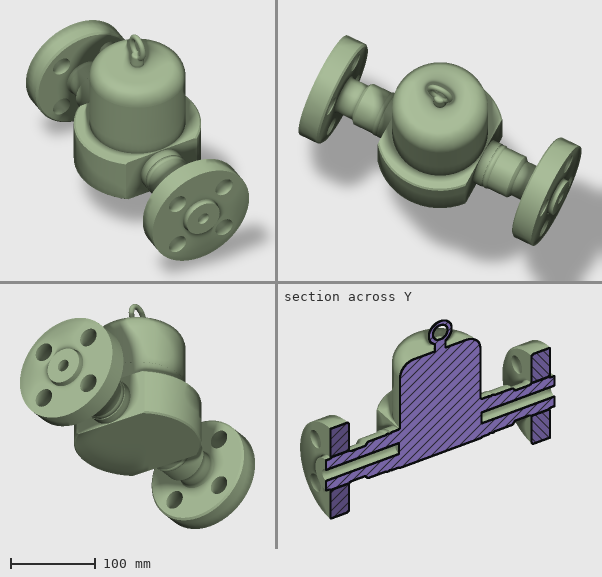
import cadquery as cq

overall_length = 320.0

block_diameter = 150.0
block_width = 116.0
block_height = 57.5
block_chamfer = 2.0

cover_diameter = 113.3
cover_top = 120.5
cover_fillet = 20.0
seam_height = 50.5
lower_cover_diameter = 113.0

overall_top = 161.3
eye_outer_diameter = 32.5
eye_wire_diameter = 6.5
post_base_diameter = 16.0
post_shoulder_diameter = 14.5
post_top = 135.5
post_round = 3.0

pipe_diameter = 44.0
bore_diameter = 15.0
sleeve_diameter = 53.0
sleeve_start = 76.0
sleeve_end = 101.0
bevel_end = 105.3
stub_diameter = 55.5
stub_end = 69.0
weld_start = 70.0
weld_root_diameter = 53.0

flange_diameter = 130.0
flange_inner_face = 127.7
flange_outer_face = 154.0
flange_thickness = flange_outer_face - flange_inner_face
flange_chamfer = 2.2
bolt_hole_diameter = 23.0
bolt_spacing = 62.5
collar_diameter = 48.0
flare_length = 4.0
outer_flare_end = 156.0

pipe_radius = pipe_diameter / 2
sleeve_radius = sleeve_diameter / 2
stub_radius = stub_diameter / 2
weld_root_radius = weld_root_diameter / 2
collar_radius = collar_diameter / 2


def make_block():
    """Disc with chamfered round edges, cut flat on the two pipe sides."""
    disc = (
        cq.Workplane("XY")
        .circle(block_diameter / 2)
        .extrude(block_height / 2, both=True)
        .edges()
        .chamfer(block_chamfer)
    )
    return disc.intersect(cq.Workplane("XY").box(block_width, block_diameter, block_height))


def make_cover():
    """Domed cylinder whose lower band is slightly narrower than the rest."""
    band = cq.Workplane("XY").circle(lower_cover_diameter / 2).extrude(seam_height)
    dome = (
        cq.Workplane("XY")
        .workplane(offset=seam_height)
        .circle(cover_diameter / 2)
        .extrude(cover_top - seam_height)
        .faces(">Z")
        .edges()
        .fillet(cover_fillet)
    )
    return band.union(dome)


def make_lifting_eye():
    """Tapered post with a rounded top, carrying a ring that stands in the XZ plane."""
    shoulder_radius = post_shoulder_diameter / 2
    post = (
        cq.Workplane("XZ")
        .moveTo(0, cover_top)
        .lineTo(post_base_diameter / 2, cover_top)
        .lineTo(shoulder_radius, post_top - post_round)
        .radiusArc((shoulder_radius - post_round, post_top), -post_round)
        .lineTo(0, post_top)
        .close()
        .revolve(360, (0, 0), (0, 1))
    )
    ring_radius = (eye_outer_diameter - eye_wire_diameter) / 2
    ring_center_height = overall_top - eye_outer_diameter / 2
    ring = (
        cq.Workplane("XY", origin=(0, 0, ring_center_height))
        .transformed(rotate=(0, 90, 0))
        .center(ring_radius, 0)
        .circle(eye_wire_diameter / 2)
        .revolve(360, (-ring_radius, 0), (-ring_radius, 1))
    )
    return post.union(ring)


def make_pipe():
    """Right-hand pipe end, turned about X, with a flared collar for its flange."""
    collar_step = collar_radius - pipe_radius
    flare_radius = (flare_length**2 + collar_step**2) / (2 * collar_step)
    weld_middle = (sleeve_start + weld_start) / 2
    return (
        cq.Workplane("XY")
        .lineTo(0, stub_radius)
        .lineTo(stub_end, stub_radius)
        .lineTo(stub_end, weld_root_radius)
        .lineTo(weld_start, weld_root_radius)
        .threePointArc((weld_middle, stub_radius), (sleeve_start, sleeve_radius))
        .lineTo(sleeve_end, sleeve_radius)
        .lineTo(bevel_end, pipe_radius)
        .lineTo(flange_inner_face - flare_length, pipe_radius)
        .radiusArc((flange_inner_face, collar_radius), -flare_radius)
        .lineTo(outer_flare_end - flare_length, collar_radius)
        .radiusArc((outer_flare_end, pipe_radius), -flare_radius)
        .lineTo(overall_length / 2, pipe_radius)
        .lineTo(overall_length / 2, 0)
        .close()
        .revolve(360, (0, 0), (1, 0))
    )


def make_bored_pipe():
    """Pipe end with a blind bore that runs from its outer face to the block."""
    bore = (
        cq.Workplane("YZ")
        .workplane(offset=block_width / 2)
        .circle(bore_diameter / 2)
        .extrude((overall_length - block_width) / 2)
    )
    return make_pipe().cut(bore)


def make_housing():
    """Block, cover, lifting eye and both pipe ends as one solid."""
    pipe = make_bored_pipe()
    return (
        make_block()
        .union(make_cover())
        .union(make_lifting_eye())
        .union(pipe)
        .union(pipe.mirror("YZ"))
    )


def make_flange(side):
    """Loose flange around the collar; side is +1 or -1 along X."""
    flange = (
        cq.Workplane("YZ")
        .workplane(offset=flange_inner_face)
        .circle(flange_diameter / 2)
        .extrude(flange_thickness)
        .faces("<X")
        .edges()
        .chamfer(flange_chamfer)
    )
    bolt_holes = (
        cq.Workplane("YZ")
        .workplane(offset=flange_inner_face)
        .rect(bolt_spacing, bolt_spacing, forConstruction=True)
        .vertices()
        .circle(bolt_hole_diameter / 2)
        .extrude(flange_thickness)
    )
    collar_bore = (
        cq.Workplane("YZ")
        .workplane(offset=flange_inner_face)
        .circle(collar_radius)
        .extrude(flange_thickness)
    )
    flange = flange.cut(bolt_holes).cut(collar_bore)
    return flange if side > 0 else flange.mirror("YZ")


housing = make_housing()
flanges = [make_flange(side) for side in (-1, 1)]

result = cq.Compound.makeCompound([housing.val(), *[flange.val() for flange in flanges]])